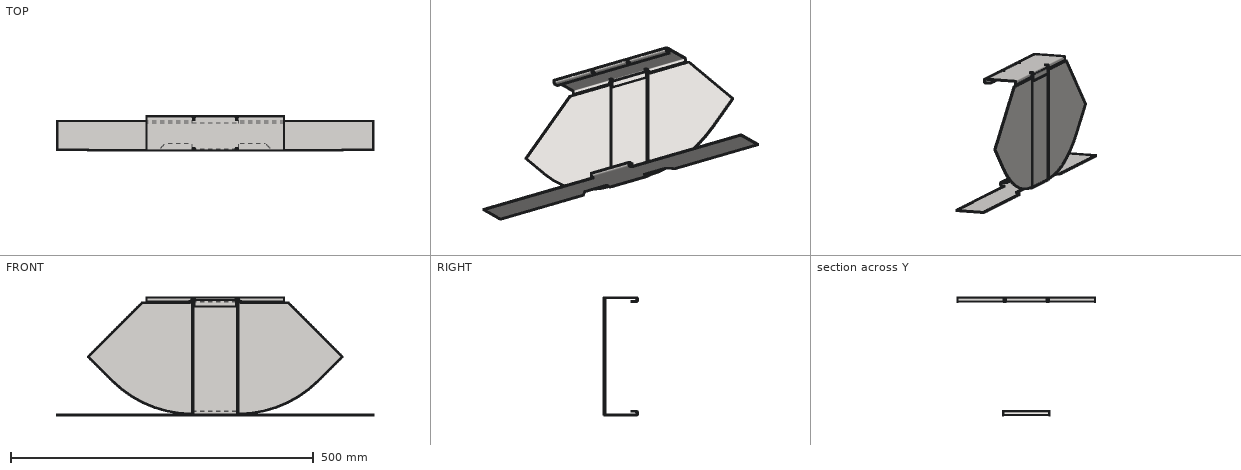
import cadquery as cq
import math

sheet = 1.5
overall_length = 522.0
overall_height = 195.0
overall_depth = 57.0

panel_half_width = 36.0
jog_width = 2.0
wing_inner_x = panel_half_width + jog_width
wing_tip_x = 210.0
wing_tip_z = 97.0
wing_top_z = 186.5
wing_bottom_z = 2.5
neck_top_z = 190.5
panel_back_y = 2 * sheet
panel_bend_radius = 1.3

front_bend_radius = 2.5
hem_radius = 3.9
hem_depth = 11.0
hem_center_y = overall_depth - hem_radius

strip_back_y = 49.0
relief_half_length = 93.0
relief_depth = 10.5

rail_half_length = 114.0
leg_gap = 1.5
leg_bottom_z = wing_top_z + leg_gap
tab_bottom_z = 180.0
tab_half_width = 34.0
slot_width = 3.0
slot_outer_x = tab_half_width + slot_width
front_slot_depth = 4.5
back_slot_depth = 6.5


def box(x0, x1, y0, y1, z0, z1):
    """Box between two opposite corners."""
    return cq.Workplane("XY").box(x1 - x0, y1 - y0, z1 - z0, centered=False).translate((x0, y0, z0))


def mirrored_pair(right_half):
    """The given shape together with its mirror image across X = 0."""
    return right_half.union(right_half.mirror("YZ"))


def extrude_along_x(profile, half_length):
    """Extrude a Y-Z profile evenly to both sides of X = 0."""
    return profile.extrude(half_length, both=True)


def hem(half_length):
    """Rolled edge along the back of a floor that lies on Z = 0, with its lip turned forward."""
    outer = hem_radius
    inner = hem_radius - sheet
    lip_front_y = overall_depth - hem_depth
    profile = (
        cq.Workplane("YZ")
        .moveTo(hem_center_y, 0)
        .threePointArc((hem_center_y + outer, outer), (hem_center_y, 2 * outer))
        .lineTo(lip_front_y, 2 * outer)
        .lineTo(lip_front_y, outer + inner)
        .lineTo(hem_center_y, outer + inner)
        .threePointArc((hem_center_y + inner, outer), (hem_center_y, sheet))
        .close()
    )
    return extrude_along_x(profile, half_length)


def wing():
    """Right wing: 45-degree sides, an arc tangent to the lower side, and a neck beside the panel."""
    side_angle = math.radians(45)
    corner_x = wing_tip_x - (wing_tip_z - wing_bottom_z)
    radius = (corner_x - wing_inner_x) / math.tan(side_angle / 2)
    center_z = wing_bottom_z + radius

    def arc_point(angle):
        return wing_inner_x + radius * math.sin(angle), center_z - radius * math.cos(angle)

    outline = (
        cq.Workplane("XZ")
        .moveTo(wing_inner_x, wing_bottom_z)
        .threePointArc(arc_point(side_angle / 2), arc_point(side_angle))
        .lineTo(wing_tip_x, wing_tip_z)
        .lineTo(wing_tip_x - (wing_top_z - wing_tip_z), wing_top_z)
        .lineTo(wing_inner_x + neck_top_z - wing_top_z, wing_top_z)
        .lineTo(wing_inner_x, neck_top_z)
        .close()
    )
    return outline.extrude(-sheet)


def jog():
    """Slanted strip that joins the right wing to the set-back panel."""
    return (
        cq.Workplane("XY")
        .polyline([
            (panel_half_width, sheet),
            (wing_inner_x, 0),
            (wing_inner_x, sheet),
            (panel_half_width, panel_back_y),
        ])
        .close()
        .extrude(neck_top_z - sheet)
        .translate((0, 0, sheet))
    )


def floor_strip():
    """Long flat strip; its front edge is cut back over the middle, with 45-degree ends."""
    strip = box(-overall_length / 2, overall_length / 2, sheet, strip_back_y, 0, sheet)
    relief = (
        cq.Workplane("XY")
        .polyline([
            (-relief_half_length, sheet),
            (relief_half_length, sheet),
            (relief_half_length - relief_depth, sheet + relief_depth),
            (relief_depth - relief_half_length, sheet + relief_depth),
        ])
        .close()
        .extrude(sheet)
    )
    return strip.cut(relief)


def web_panel():
    """Set-back middle panel, rounded where its front face turns into the underside."""
    panel = box(-panel_half_width, panel_half_width, sheet, panel_back_y, 0, neck_top_z)
    return panel.edges("<Y and <Z").fillet(panel_bend_radius)


def make_side_plate():
    """Web panel with wings, floor strip, and the floor and hem behind the panel."""
    panel_floor = box(-wing_inner_x, wing_inner_x, panel_back_y, hem_center_y, 0, sheet)
    return (
        web_panel()
        .union(mirrored_pair(wing().union(jog())))
        .union(floor_strip())
        .union(panel_floor)
        .union(hem(wing_inner_x))
    )


def rail_section():
    """Top flange with its front bend and a front leg as deep as the tab."""
    outer = front_bend_radius
    inner = outer - sheet
    bend_z = overall_height - outer
    diagonal = math.sqrt(0.5)
    profile = (
        cq.Workplane("YZ")
        .moveTo(0, tab_bottom_z)
        .lineTo(0, bend_z)
        .threePointArc((outer - outer * diagonal, bend_z + outer * diagonal), (outer, overall_height))
        .lineTo(hem_center_y, overall_height)
        .lineTo(hem_center_y, overall_height - sheet)
        .lineTo(outer, overall_height - sheet)
        .threePointArc((outer - inner * diagonal, bend_z + inner * diagonal), (sheet, bend_z))
        .lineTo(sheet, tab_bottom_z)
        .close()
    )
    return extrude_along_x(profile, rail_half_length)


def leg_trim():
    """Part cut from below the right leg, leaving an even gap above the wing and its sloped neck."""
    slope_foot_x = wing_inner_x + neck_top_z - wing_top_z
    slope_top_z = leg_bottom_z + slope_foot_x - slot_outer_x
    return (
        cq.Workplane("XZ")
        .polyline([
            (slot_outer_x, tab_bottom_z),
            (rail_half_length, tab_bottom_z),
            (rail_half_length, leg_bottom_z),
            (slope_foot_x, leg_bottom_z),
            (slot_outer_x, slope_top_z),
        ])
        .close()
        .extrude(-sheet)
    )


def fold_slots():
    """Right-hand slots through the front bend and through the roll of the back hem."""
    hem_bottom_z = overall_height - 2 * hem_radius
    back_slot_y = overall_depth - back_slot_depth
    front = box(tab_half_width, slot_outer_x, 0, front_slot_depth, tab_bottom_z, overall_height)
    back = box(tab_half_width, slot_outer_x, back_slot_y, overall_depth, hem_bottom_z, overall_height)
    return front.union(back)


def make_top_rail():
    """Top flange with back hem, front legs and the tab lying on the panel."""
    rail_hem = hem(rail_half_length).mirror("XY").translate((0, 0, overall_height))
    cuts = leg_trim().union(fold_slots())
    return rail_section().union(rail_hem).cut(mirrored_pair(cuts))


side_plate = make_side_plate()
top_rail = make_top_rail()

result = cq.Compound.makeCompound([side_plate.solids().val(), top_rail.solids().val()])